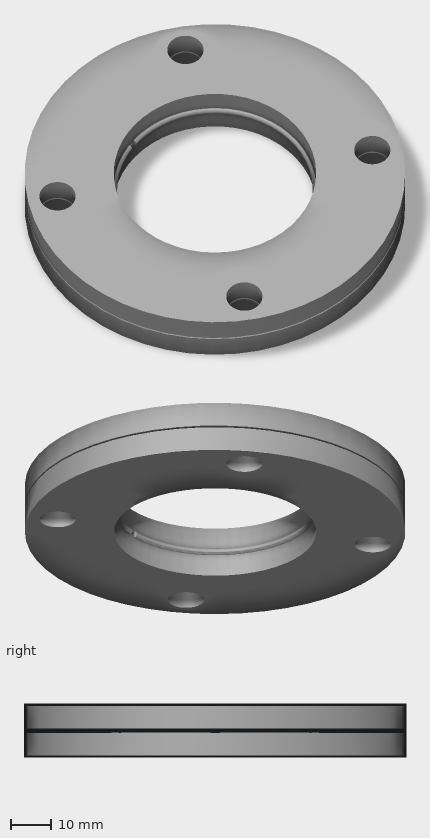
import cadquery as cq

outer_diameter = 95.0
thickness = 13.0
bore_diameter = 50.5
disc_gap = 0.5

wire_radius = 0.9
wire_split = 1.9

bolt_hole_diameter = 9.0
bolt_spacing = 56.5

disc_thickness = (thickness - disc_gap) / 2


def flange_disc(bottom):
    """Drilled disc standing on the given height."""
    return (
        cq.Workplane("XY", origin=(0, 0, bottom))
        .circle(outer_diameter / 2)
        .circle(bore_diameter / 2)
        .rect(bolt_spacing, bolt_spacing, forConstruction=True)
        .vertices()
        .circle(bolt_hole_diameter / 2)
        .extrude(disc_thickness)
    )


def split_wire():
    """Wire ring around the bore, cut into two arcs."""
    wire = (
        cq.Workplane("XZ")
        .center(bore_diameter / 2, 0)
        .circle(wire_radius)
        .revolve(360, (-bore_diameter / 2, 0), (-bore_diameter / 2, 1))
    )
    opening = cq.Workplane("XY").box(outer_diameter, wire_split, 2 * wire_radius)
    return wire.cut(opening)


lower_disc = flange_disc(-thickness / 2)
upper_disc = flange_disc(disc_gap / 2)
result = lower_disc.union(upper_disc).union(split_wire())